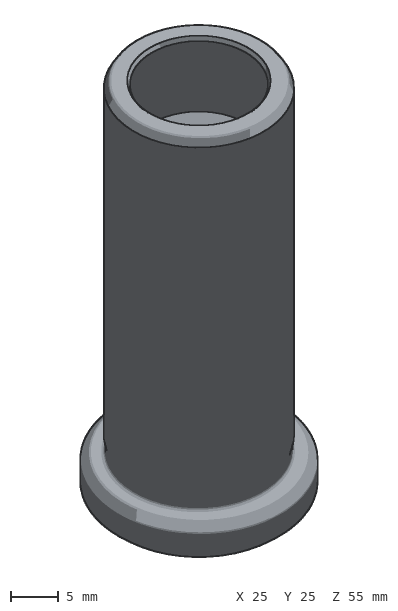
import cadquery as cq
import math

total_length = 55.0
edge_round = 0.35

head_radius = 25.0 / 2
head_height = 5.0
head_chamfer = 1.0

shank_radius = 20.0 / 2
lead_in_angle = 30.0
lead_in_length = 1.0

undercut_radius = 19.7 / 2
undercut_length = 2.2
undercut_corner = 0.42
undercut_runout = 0.6

bore_radius = 14.5 / 2
bore_depth = 10.0
neck_radius = 10.0 / 2
outlet_radius = 5.0 / 2
lower_cone_angle = 60.0
upper_cone_angle = 90.0
mouth_length = 0.5

position_tolerance = 1e-4


def taper_width(length, angle):
    """Radial change of a taper of the given axial length and angle from the axis."""
    return length * math.tan(math.radians(angle))


def cone_height(large_radius, small_radius, included_angle):
    """Axial length of a cone between two radii."""
    return (large_radius - small_radius) / math.tan(math.radians(included_angle / 2))


def revolve_outline(outline):
    """Turn a closed (radius, height) outline about the Z axis."""
    return outline.revolve(360, (0, 0, 0), (0, 1, 0))


def round_circle(body, radius, height):
    """Round the circular edge of the given radius at the given height."""
    found = []
    for edge in body.edges("%CIRCLE").vals():
        radius_error = abs(edge.radius() - radius)
        height_error = abs(edge.Center().z - height)
        if max(radius_error, height_error) < position_tolerance:
            found.append(edge)
    return body.newObject(found).fillet(edge_round)


def make_head():
    """Disc chamfered on both rims, with every resulting edge rounded."""
    disc = cq.Workplane("XY").circle(head_radius).extrude(head_height)
    return disc.edges("%CIRCLE").chamfer(head_chamfer).edges("%CIRCLE").fillet(edge_round)


def make_shank():
    """Shank standing on the head, with its undercut, corner radius and lead-in."""
    tip_radius = shank_radius - taper_width(lead_in_length, lead_in_angle)
    undercut_end = head_height + undercut_length
    corner_inset = undercut_corner * (1 - math.sqrt(0.5))
    corner_middle = (undercut_radius + corner_inset, head_height + corner_inset)
    outline = (
        cq.Workplane("XZ")
        .moveTo(0, head_height)
        .lineTo(undercut_radius + undercut_corner, head_height)
        .threePointArc(corner_middle, (undercut_radius, head_height + undercut_corner))
        .lineTo(undercut_radius, undercut_end - undercut_runout)
        .lineTo(shank_radius, undercut_end)
        .lineTo(shank_radius, total_length - lead_in_length)
        .lineTo(tip_radius, total_length)
        .lineTo(0, total_length)
        .close()
    )
    return round_circle(revolve_outline(outline), tip_radius, total_length)


def make_bore():
    """Stepped through-bore with a tapered mouth at the free end."""
    bore_floor_z = total_length - bore_depth
    neck_z = bore_floor_z - cone_height(bore_radius, neck_radius, upper_cone_angle)
    outlet_z = neck_z - cone_height(neck_radius, outlet_radius, lower_cone_angle)
    mouth_radius = bore_radius + taper_width(mouth_length, lead_in_angle)
    outline = cq.Workplane("XZ").polyline([
        (0, 0),
        (outlet_radius, 0),
        (outlet_radius, outlet_z),
        (neck_radius, neck_z),
        (bore_radius, bore_floor_z),
        (bore_radius, total_length - mouth_length),
        (mouth_radius, total_length),
        (0, total_length),
    ]).close()
    return revolve_outline(outline)


result = make_head().union(make_shank()).cut(make_bore())